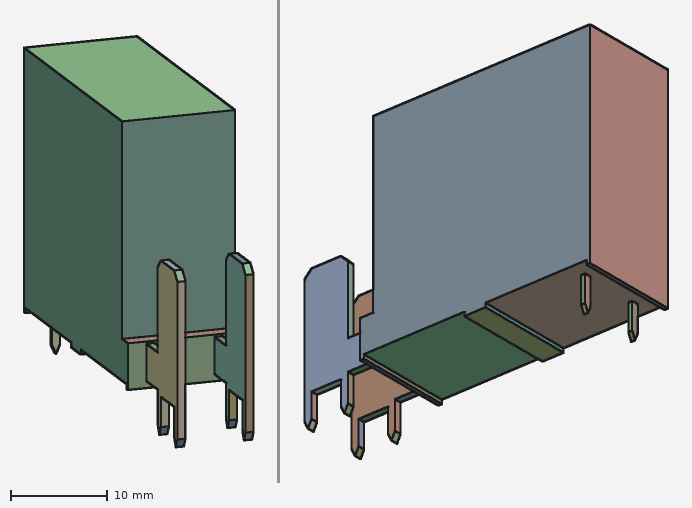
import cadquery as cq


case_width = 12.5
case_top = 32.5
case_length = 29.6
base_length = 31.35
base_bottom = 4.0
step_top = 9.05

floor_height = 4.5
end_rail = 0.5
middle_rail_start = 14.25
middle_rail_end = 17.15

row_spacing = 7.53
blade_width = 0.9
tip_height = 0.98
embed = 0.4

pin_start = 2.4
pin_thickness = 0.53

terminal_right = 40.7
terminal_left = 34.75
terminal_top = 18.95
tab_chamfer = 0.98
arm_top = 8.8
arm_bottom = 4.75
fork_height = 4.25
leg_width = 0.98

row_positions = (-row_spacing / 2, row_spacing / 2)


def extrude_across(points, width, center_y=0):
    """Extrude an XZ outline symmetrically about the given Y position."""
    outline = cq.Workplane("XZ", origin=(0, center_y, 0)).polyline(points).close()
    return outline.extrude(width / 2, both=True)


def make_case():
    """Stepped box with two shallow recesses across its underside."""
    outline = [
        (0, base_bottom),
        (end_rail, base_bottom),
        (end_rail, floor_height),
        (middle_rail_start, floor_height),
        (middle_rail_start, base_bottom),
        (middle_rail_end, base_bottom),
        (middle_rail_end, floor_height),
        (base_length - end_rail, floor_height),
        (base_length - end_rail, base_bottom),
        (base_length, base_bottom),
        (base_length, step_top),
        (case_length, step_top),
        (case_length, case_top),
        (0, case_top),
    ]
    return extrude_across(outline, case_width)


def make_coil_pin(center_y):
    """Flat pin that tapers to a chisel edge along X."""
    half_width = blade_width / 2
    pin_top = floor_height + embed
    outline = [
        (center_y - half_width, pin_top),
        (center_y - half_width, tip_height),
        (center_y, 0),
        (center_y + half_width, tip_height),
        (center_y + half_width, pin_top),
    ]
    plane = cq.Workplane("YZ", origin=(pin_start, 0, 0))
    return plane.polyline(outline).close().extrude(pin_thickness)


def make_terminal(center_y):
    """Side arm carrying an upright chamfered tab and two pointed legs."""
    arm_start = base_length - embed
    left_leg_inner = terminal_left + leg_width
    right_leg_inner = terminal_right - leg_width
    outline = [
        (arm_start, arm_bottom),
        (terminal_left, arm_bottom),
        (terminal_left, tip_height),
        (terminal_left + leg_width / 2, 0),
        (left_leg_inner, tip_height),
        (left_leg_inner, fork_height),
        (right_leg_inner, fork_height),
        (right_leg_inner, tip_height),
        (terminal_right - leg_width / 2, 0),
        (terminal_right, tip_height),
        (terminal_right, terminal_top - tab_chamfer),
        (terminal_right - tab_chamfer, terminal_top),
        (terminal_left + tab_chamfer, terminal_top),
        (terminal_left, terminal_top - tab_chamfer),
        (terminal_left, arm_top),
        (arm_start, arm_top),
    ]
    return extrude_across(outline, blade_width, center_y)


result = make_case()
for row_y in row_positions:
    result = result.union(make_coil_pin(row_y))
    result = result.union(make_terminal(row_y))